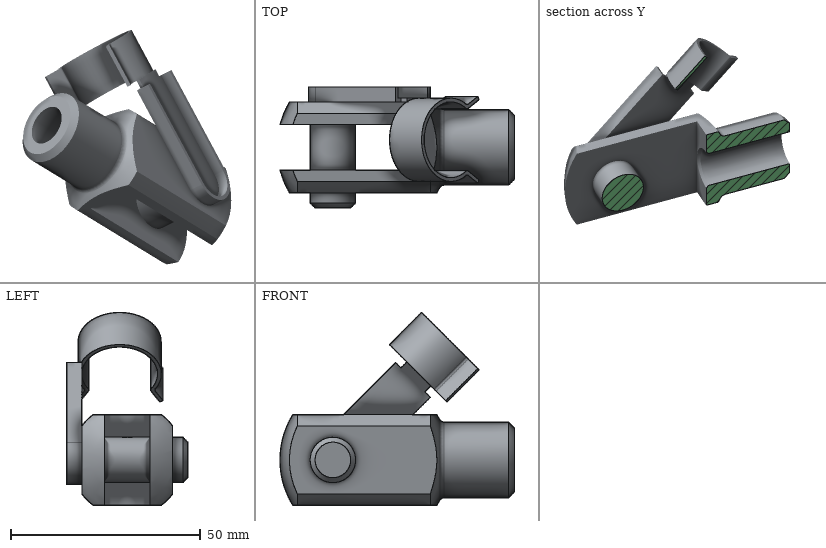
import cadquery as cq
import math

fork_size = 24.0
fork_corner_diameter = 30.0
slot_width = 12.0
slot_floor_x = 24.0
fork_tip_x = -14.0
tip_sphere_radius = 23.5

shank_end_x = 48.0
shank_diameter = 20.0
shank_chamfer = 1.6
shoulder_start_x = 27.45
shoulder_angle = 60.0
shoulder_fillet = 1.3
thread_hole_diameter = 10.65
thread_mouth_diameter = 12.0

pin_diameter = 12.0
pin_end_y = -16.0
pin_chamfer = 1.3

lever_angle = 45.0
sheet = 1.0
lever_width = 13.0
lever_depth = 4.0
lever_length = 29.9
neck_width = 9.0

clip_start = 32.125
clip_length = 12.0
clip_radius = 11.0
clip_lip_angle = 30.0
clip_kink_drop = 6.0
clip_lip_drop = 10.5
clip_outer_bend = 0.7
clip_inner_bend = 0.8

fork_half = fork_size / 2
shank_radius = shank_diameter / 2
lever_base_y = fork_half
channel_floor_y = lever_base_y + sheet
clip_center_y = channel_floor_y - clip_radius


def make_turned_envelope():
    """Body of revolution about X that rounds the fork tip and forms the shoulder and shank."""
    slot_half = slot_width / 2
    center_x = fork_tip_x + math.sqrt(tip_sphere_radius**2 - slot_half**2)
    nose_x = center_x - tip_sphere_radius
    slope = math.tan(math.radians(shoulder_angle))
    shoulder_top_x = shoulder_start_x - (tip_sphere_radius - fork_half) / slope
    shoulder_foot_x = shoulder_start_x + (fork_half - shank_radius) / slope
    mid_offset = tip_sphere_radius * math.sin(math.radians(45))
    profile = (
        cq.Workplane("XY")
        .moveTo(nose_x, 0)
        .threePointArc((center_x - mid_offset, mid_offset), (center_x, tip_sphere_radius))
        .lineTo(shoulder_top_x, tip_sphere_radius)
        .lineTo(shoulder_foot_x, shank_radius)
        .lineTo(shank_end_x, shank_radius)
        .lineTo(shank_end_x, 0)
        .close()
    )
    envelope = profile.revolve(360, (0, 0, 0), (1, 0, 0))
    shoulder_foot = cq.selectors.NearestToPointSelector((shoulder_foot_x, 0, 0))
    envelope = envelope.edges(shoulder_foot).fillet(shoulder_fillet)
    return envelope.faces(">X").edges().chamfer(shank_chamfer)


def make_fork():
    length = shank_end_x - fork_tip_x
    bar = (
        cq.Workplane("YZ", origin=(fork_tip_x, 0, 0))
        .rect(fork_size, fork_size)
        .extrude(length)
    )
    corner_round = (
        cq.Workplane("YZ", origin=(fork_tip_x, 0, 0))
        .circle(fork_corner_diameter / 2)
        .extrude(length)
    )
    body = bar.intersect(corner_round).intersect(make_turned_envelope())
    slot = (
        cq.Workplane("XY")
        .box(slot_floor_x - fork_tip_x, slot_width, fork_size, centered=(False, True, True))
        .translate((fork_tip_x, 0, 0))
    )
    thread_hole = (
        cq.Workplane("YZ", origin=(slot_floor_x, 0, 0))
        .circle(thread_hole_diameter / 2)
        .extrude(shank_end_x - slot_floor_x)
    )
    mouth_depth = (thread_mouth_diameter - thread_hole_diameter) / 2
    mouth = (
        cq.Workplane("YZ", origin=(slot_floor_x, 0, 0))
        .circle(thread_mouth_diameter / 2)
        .workplane(offset=mouth_depth)
        .circle(thread_hole_diameter / 2)
        .loft()
    )
    return body.cut(slot).cut(thread_hole).cut(mouth)


def make_pin():
    return (
        cq.Workplane("XZ", origin=(0, channel_floor_y, 0))
        .circle(pin_diameter / 2)
        .extrude(channel_floor_y - pin_end_y)
        .faces("<Y")
        .edges()
        .chamfer(pin_chamfer)
    )


def lever_outline(width, y, depth):
    """Strip with a round end about the pin and a square far end, grown from y toward +Y."""
    half = width / 2
    return (
        cq.Workplane("XZ", origin=(0, y, 0))
        .moveTo(lever_length, half)
        .lineTo(0, half)
        .threePointArc((-half, 0), (0, -half))
        .lineTo(lever_length, -half)
        .close()
        .extrude(-depth)
    )


def make_lever():
    """Channel with its floor on the fork flank and its rim pointing away from the fork."""
    channel = lever_outline(lever_width, lever_base_y, lever_depth)
    hollow = lever_outline(lever_width - 2 * sheet, channel_floor_y, lever_depth - sheet)
    neck_length = clip_start - lever_length + sheet
    neck = (
        cq.Workplane("XY")
        .box(neck_length, sheet, neck_width, centered=(False, False, True))
        .translate((lever_length - sheet, lever_base_y, 0))
    )
    return channel.cut(hollow).union(neck)


def make_clip():
    """Open C-shaped ring about the lever direction, with both ends bent outward as lead-in lips."""
    inner_radius = clip_radius - sheet
    lip_angle = math.radians(clip_lip_angle)
    inner_kink = (math.sqrt(inner_radius**2 - clip_kink_drop**2), -clip_kink_drop)
    lip_length = (clip_lip_drop - clip_kink_drop) / math.cos(lip_angle)
    along = (math.sin(lip_angle), -math.cos(lip_angle))
    across = (math.cos(lip_angle), math.sin(lip_angle))
    inner_tip = (inner_kink[0] + lip_length * along[0], inner_kink[1] + lip_length * along[1])
    outer_tip = (inner_tip[0] + sheet * across[0], inner_tip[1] + sheet * across[1])

    tip_along = outer_tip[0] * along[0] + outer_tip[1] * along[1]
    tip_across = outer_tip[0] * across[0] + outer_tip[1] * across[1]
    back = tip_along - math.sqrt(clip_radius**2 - tip_across**2)
    outer_kink = (outer_tip[0] - back * along[0], outer_tip[1] - back * along[1])

    def mirrored(point):
        return (-point[0], point[1])

    ring = (
        cq.Workplane("YZ", origin=(clip_start, clip_center_y, 0))
        .moveTo(*inner_kink)
        .lineTo(*inner_tip)
        .lineTo(*outer_tip)
        .lineTo(*outer_kink)
        .threePointArc((0, clip_radius), mirrored(outer_kink))
        .lineTo(*mirrored(outer_tip))
        .lineTo(*mirrored(inner_tip))
        .lineTo(*mirrored(inner_kink))
        .threePointArc((0, inner_radius), inner_kink)
        .close()
        .extrude(clip_length)
    )
    bends = (
        (outer_kink, clip_outer_bend),
        (mirrored(outer_kink), clip_outer_bend),
        (inner_kink, clip_inner_bend),
        (mirrored(inner_kink), clip_inner_bend),
    )
    for side, radius in bends:
        kink_point = (clip_start + clip_length / 2, clip_center_y + side[0], side[1])
        kink_edge = cq.selectors.NearestToPointSelector(kink_point)
        ring = ring.edges(kink_edge).fillet(radius)
    return ring


locking_arm = make_lever().union(make_clip()).rotate((0, 0, 0), (0, 1, 0), -lever_angle)
result = make_fork().union(make_pin()).union(locking_arm)